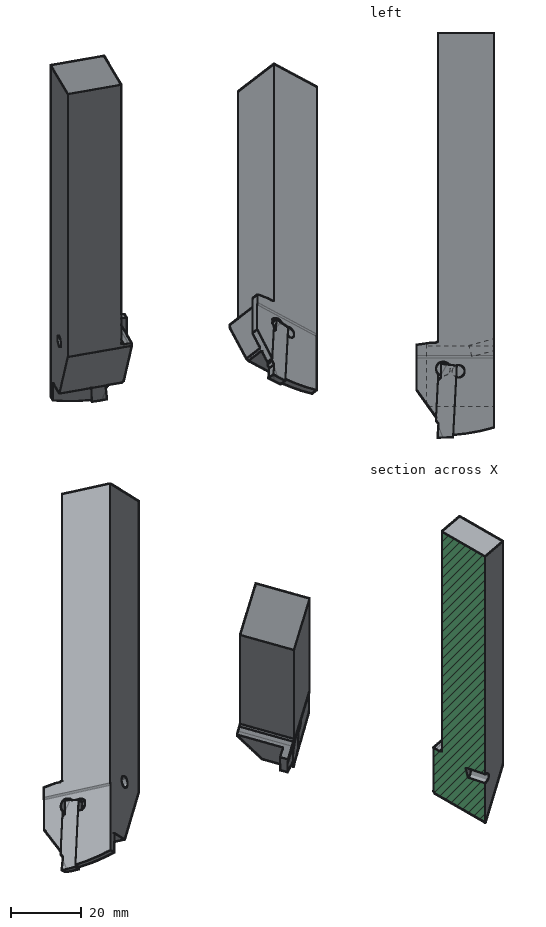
import cadquery as cq
import math


overall_height = 114.3
shank_size = 15.875
blade_rear = 21.88
blade_back = 2.3
block_rear = 19.03
block_bottom = 8.8
block_bottom_width = 8.1
slope_top = 25.9

shoulder_root_height = 27.2
shoulder_flat_height = 26.88
shoulder_flat_start = 16.6
shoulder_flat_end = 18.0
shoulder_fall_angle = 8.4
shoulder_outer_height = shoulder_flat_height - (
    (blade_rear - shoulder_flat_end) * math.tan(math.radians(shoulder_fall_angle))
)

flank_top = 13.5
flank_end_y = 15.0
flank_end_z = 3.85

lower_edge_radius = 55.0
lower_edge_center_y = 15.6
lower_edge_start_z = 2.9
lower_edge_center_z = lower_edge_start_z + math.sqrt(lower_edge_radius**2 - lower_edge_center_y**2)

side_relief = 0.17
relief_ramp_top = 23.3
relief_ramp_angle = 13.5
relief_ramp_bottom = relief_ramp_top - side_relief / math.tan(math.radians(relief_ramp_angle))

hole_diameter = 3.25
hole_z = 26.3
hole_depth = 6.9
hole_tilt = 15.0

insert_tilt = 3.0
insert_seat_y = 11.58
insert_length = 21.03
insert_width = 5.1
edge_width_y = 4.43
end_relief = 0.4
breaker_floor_y = 4.32
breaker_floor_z = 3.95
breaker_top_z = 4.85
lead_rise = 0.2
flare_overhang = 0.14
edge_low_x = side_relief - flare_overhang
edge_high_x = blade_back + flare_overhang
flare_angle = 26.0
flare_root_y = 2.73
insert_origin_z = -edge_width_y * math.sin(math.radians(insert_tilt))

bore_extra_depth = 0.2
rear_bore = (14.35, 19.5, 2.0)
front_bore = (10.05, 18.8, 1.75)

margin = 5.0


def box_between(low, high):
    """Box given by two opposite corners."""
    size = [b - a for a, b in zip(low, high)]
    return cq.Workplane("XY").box(*size, centered=False).translate(low)


def place_insert_shape(shape):
    """Move a shape from the insert's frame to its seat in the holder."""
    tilted = shape.rotate((0, 0, 0), (1, 0, 0), insert_tilt)
    return tilted.translate((0, insert_seat_y, insert_origin_z))


def make_holder_blank():
    """Side outline through the full width, trimmed to the sloped front outline."""
    arc_end_z = lower_edge_center_z - math.sqrt(
        lower_edge_radius**2 - (flank_end_y - lower_edge_center_y) ** 2
    )
    side = (
        cq.Workplane("YZ")
        .moveTo(0, lower_edge_start_z)
        .lineTo(0, overall_height)
        .lineTo(shank_size, overall_height)
        .lineTo(shank_size, shoulder_root_height)
        .lineTo(shoulder_flat_start, shoulder_flat_height)
        .lineTo(shoulder_flat_end, shoulder_flat_height)
        .lineTo(blade_rear, shoulder_outer_height)
        .lineTo(blade_rear, flank_top)
        .lineTo(flank_end_y, flank_end_z)
        .lineTo(flank_end_y, arc_end_z)
        .radiusArc((0, lower_edge_start_z), lower_edge_radius)
        .close()
        .extrude(shank_size)
    )
    front = (
        cq.Workplane("XZ")
        .polyline([
            (0, overall_height),
            (shank_size, overall_height),
            (shank_size, slope_top),
            (block_bottom_width, block_bottom),
            (blade_back, block_bottom),
            (blade_back, 0),
            (side_relief, 0),
            (side_relief, relief_ramp_bottom),
            (0, relief_ramp_top),
        ])
        .close()
        .extrude(-blade_rear)
    )
    behind_block = box_between(
        (blade_back, block_rear, 0),
        (shank_size, blade_rear + margin, overall_height),
    )
    return side.intersect(front).cut(behind_block)


def make_tilted_hole():
    """Flat-ended bore that starts outside the front face."""
    tilt = math.radians(hole_tilt)
    direction = cq.Vector(0, math.cos(tilt), -math.sin(tilt))
    mouth = cq.Vector(shank_size / 2, 0, hole_z)
    start = mouth - direction * margin
    return cq.Workplane(
        cq.Solid.makeCylinder(hole_diameter / 2, hole_depth + margin, start, direction)
    )


def make_insert_pocket():
    """Straight slot for the insert, open at the bottom, with two corner bores."""
    slot = (
        cq.Workplane("YZ")
        .polyline([
            (0, -margin),
            (insert_width, -margin),
            (insert_width, insert_length - end_relief),
            (edge_width_y, insert_length),
            (0, insert_length - end_relief),
        ])
        .close()
        .extrude(blade_back)
    )
    pocket = place_insert_shape(slot)
    for y, z, radius in (rear_bore, front_bore):
        bore = cq.Workplane("YZ").center(y, z).circle(radius).extrude(blade_back + bore_extra_depth)
        pocket = pocket.union(bore)
    return pocket


def make_insert_half():
    """Lower half of the insert: end relief, chip breaker, slanted edge and flared tip."""
    middle = insert_length / 2
    profile = (
        cq.Workplane("YZ")
        .polyline([
            (0, end_relief),
            (edge_width_y, 0),
            (breaker_floor_y, breaker_floor_z),
            (insert_width, breaker_top_z),
            (insert_width, middle),
            (0, middle),
        ])
        .close()
        .extrude(edge_high_x)
    )

    angle = math.radians(flare_angle)
    root_line = (0, math.sin(angle), math.cos(angle))
    flare_length = (edge_width_y - flare_root_y) * math.cos(angle)
    flare_plane = cq.Plane(origin=(0, flare_root_y, 0), xDir=(1, 0, 0), normal=root_line)
    sides = (
        cq.Workplane(flare_plane)
        .polyline([
            (side_relief, -insert_length),
            (side_relief, 0),
            (edge_low_x, flare_length),
            (edge_high_x, flare_length),
            (blade_back, 0),
            (blade_back, -insert_length),
        ])
        .close()
        .extrude(insert_length, both=True)
    )
    tip_space = box_between(
        (edge_low_x, 0, 0),
        (edge_high_x, insert_width, breaker_floor_z),
    )
    body_space = box_between(
        (side_relief, 0, breaker_floor_z),
        (blade_back, insert_width, middle),
    )
    tip = profile.intersect(sides).intersect(tip_space)
    half = tip.union(profile.intersect(body_space))

    lead_wedge = (
        cq.Workplane("XZ")
        .polyline([
            (edge_low_x, 0),
            (edge_high_x, lead_rise),
            (edge_high_x, -margin),
            (edge_low_x, -margin),
        ])
        .close()
        .extrude(-insert_width)
    )
    return half.cut(lead_wedge)


def make_insert():
    """Double-ended insert, both ends alike."""
    half = make_insert_half()
    other_half = half.mirror("XY", (0, 0, insert_length / 2))
    return place_insert_shape(half.union(other_half))


holder = make_holder_blank().cut(make_tilted_hole()).cut(make_insert_pocket())
insert = make_insert()

result = cq.Compound.makeCompound([holder.solids().val(), insert.solids().val()])